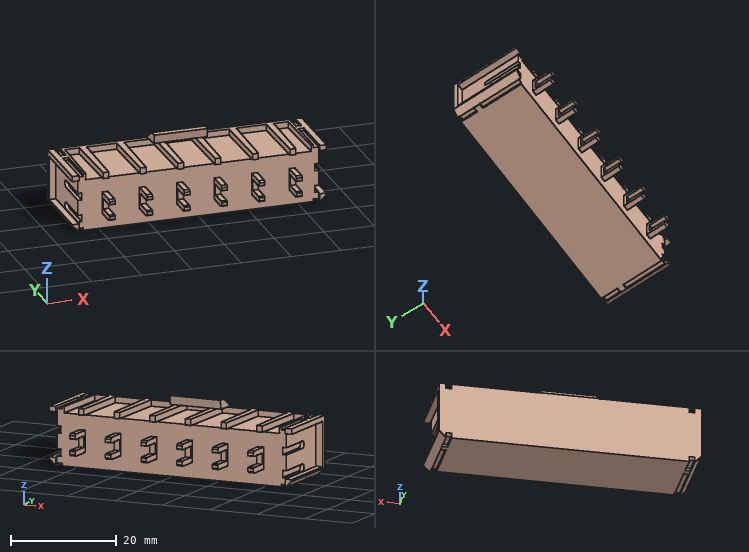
import cadquery as cq

LENGTH = 51.05
BODY_DEPTH = 14.1
BODY_HEIGHT = 11.6
OVERALL_HEIGHT = 13.4
OVERALL_DEPTH = 18.6

FRAME_THICKNESS = 1.4
FRAME_OVERHANG = 0.6
FRAME_BACK_WALL = 1.05
FRAME_TOP_BAR = 1.05
FRAME_BOTTOM_BAR = 1.75

SLOT_WIDTH = 1.05
SLOT_DEPTH = 0.5
REAR_SLOT_LENGTH = 3.8
SLOT_BRIDGE = 1.4
LEAD_IN_LENGTH = 0.45
LEAD_IN_DROP = 0.5

GROOVE_WIDTH = 1.4
GROOVE_DEPTH = 0.75
GROOVE_LENGTH = 7.75
GROOVE_CENTERS_Z = (2.55, 7.0)

POCKET_DEPTH = 1.2
POCKET_BACK_WALL = 1.15
POCKET_HALF_BACK = 22.35
POCKET_HALF_FRONT = 22.6
RIB_BACK_WIDTH = 1.5
RIB_FRONT_WIDTH = 1.1
RIB_OVERHANG = 0.6

PIN_COUNT = 6
PIN_PITCH = 7.5
PIN_WIDTH = 1.1
PIN_TOP_Z = 7.4
PIN_BOTTOM_Z = 3.1
PRONG_HEIGHT = 1.05
PIN_WEB = 0.6
TIP_LENGTH = 0.45
TIP_OUTER_DROP = 0.3
TIP_INNER_DROP = 0.15

LATCH_HALF_BACK = 5.7
LATCH_HALF_FRONT = 5.3
LATCH_RAMP = 2.3
LATCH_REACH = 3.85
LATCH_UNDERCUT = 0.3

HALF_LENGTH = LENGTH / 2
POCKET_BACK_Y = BODY_DEPTH - POCKET_BACK_WALL
POCKET_FLOOR_Z = BODY_HEIGHT - POCKET_DEPTH
SIDE_X = HALF_LENGTH - FRAME_THICKNESS
PIN_TIP_Y = BODY_DEPTH - OVERALL_DEPTH
PIN_POSITIONS = [(i - (PIN_COUNT - 1) / 2) * PIN_PITCH for i in range(PIN_COUNT)]


def block(x_range, y_range, z_range):
    """Box given by its lower and upper limit along each axis."""
    lows, highs = zip(x_range, y_range, z_range)
    sizes = [high - low for low, high in zip(lows, highs)]
    return cq.Workplane("XY").box(*sizes, centered=False).translate(lows)


def side_profile(points, x_start, width):
    """Outline of (Y, Z) points extruded along +X."""
    return cq.Workplane("YZ").workplane(offset=x_start).polyline(points).close().extrude(width)


def tapered_bar(half_front, half_back, y_front, y_back, z_low, height):
    """Bar symmetric about X = 0 whose width changes from front to back."""
    outline = [
        (-half_front, y_front),
        (half_front, y_front),
        (half_back, y_back),
        (-half_back, y_back),
    ]
    return cq.Workplane("XY").workplane(offset=z_low).polyline(outline).close().extrude(height)


def mirrored_pair(solid):
    """The solid together with its mirror image across X = 0."""
    return solid.union(solid.mirror("YZ"))


def end_frame():
    """Frame at the +X end: open to the front, with the lower outer edge bevelled."""
    frame = block((SIDE_X, HALF_LENGTH), (-FRAME_OVERHANG, BODY_DEPTH), (0, BODY_HEIGHT))
    opening = block(
        (SIDE_X, HALF_LENGTH),
        (-FRAME_OVERHANG, BODY_DEPTH - FRAME_BACK_WALL),
        (FRAME_BOTTOM_BAR, BODY_HEIGHT - FRAME_TOP_BAR),
    )
    bevel = (
        cq.Workplane("XZ", origin=(0, BODY_DEPTH, 0))
        .polyline([(SIDE_X, 0), (HALF_LENGTH, 0), (HALF_LENGTH, FRAME_THICKNESS)])
        .close()
        .extrude(BODY_DEPTH + FRAME_OVERHANG)
    )
    return frame.cut(opening).cut(bevel)


def edge_slots():
    """Top and bottom slots beside the +X frame: a rear one with a sloped entry and a front one."""
    rear_end = BODY_DEPTH - REAR_SLOT_LENGTH
    slot_floor = BODY_HEIGHT - SLOT_DEPTH
    rear_outline = [
        (rear_end, BODY_HEIGHT),
        (BODY_DEPTH, BODY_HEIGHT),
        (BODY_DEPTH, slot_floor - LEAD_IN_DROP),
        (BODY_DEPTH - LEAD_IN_LENGTH, slot_floor),
        (rear_end, slot_floor),
    ]
    rear = side_profile(rear_outline, SIDE_X - SLOT_WIDTH, SLOT_WIDTH)
    front = block(
        (SIDE_X - SLOT_WIDTH, SIDE_X),
        (0, rear_end - SLOT_BRIDGE),
        (slot_floor, BODY_HEIGHT),
    )
    top = rear.union(front)
    return top.union(top.mirror("XY", (0, 0, BODY_HEIGHT / 2)))


def side_grooves():
    """Grooves in the +X side face, open at the front and rounded at the rear."""
    radius = GROOVE_WIDTH / 2
    grooves = cq.Workplane("YZ")
    for z in GROOVE_CENTERS_Z:
        groove = (
            cq.Workplane("YZ", origin=(SIDE_X - GROOVE_DEPTH, 0, z))
            .moveTo(0, -radius)
            .lineTo(GROOVE_LENGTH - radius, -radius)
            .threePointArc((GROOVE_LENGTH, 0), (GROOVE_LENGTH - radius, radius))
            .lineTo(0, radius)
            .close()
            .extrude(GROOVE_DEPTH)
        )
        grooves = grooves.add(groove)
    return grooves.combine()


def top_pocket():
    """Recess in the top face, open at the front."""
    return tapered_bar(
        POCKET_HALF_FRONT, POCKET_HALF_BACK, 0, POCKET_BACK_Y, POCKET_FLOOR_Z, POCKET_DEPTH
    )


def rib():
    """Tapered rib centred on X = 0, running from the pocket's back wall past the body front."""
    return tapered_bar(
        RIB_FRONT_WIDTH / 2, RIB_BACK_WIDTH / 2, -RIB_OVERHANG, POCKET_BACK_Y, POCKET_FLOOR_Z, POCKET_DEPTH
    )


def latch():
    """Ramped wedge with an undercut front face, narrowing towards the front."""
    front_y = BODY_DEPTH - LATCH_REACH
    outline = [
        (BODY_DEPTH, BODY_HEIGHT),
        (BODY_DEPTH - LATCH_RAMP, OVERALL_HEIGHT),
        (front_y, OVERALL_HEIGHT),
        (front_y + LATCH_UNDERCUT, BODY_HEIGHT),
    ]
    wedge = side_profile(outline, -LATCH_HALF_BACK, 2 * LATCH_HALF_BACK)
    plan = tapered_bar(
        LATCH_HALF_FRONT, LATCH_HALF_BACK, front_y, BODY_DEPTH, BODY_HEIGHT, OVERALL_HEIGHT - BODY_HEIGHT
    )
    return wedge.intersect(plan)


def pin():
    """Two-pronged pin centred on X = 0 with bevelled tips."""
    taper_y = PIN_TIP_Y + TIP_LENGTH
    upper_inner_z = PIN_TOP_Z - PRONG_HEIGHT
    lower_inner_z = PIN_BOTTOM_Z + PRONG_HEIGHT
    outline = [
        (0, PIN_TOP_Z),
        (taper_y, PIN_TOP_Z),
        (PIN_TIP_Y, PIN_TOP_Z - TIP_OUTER_DROP),
        (PIN_TIP_Y, upper_inner_z + TIP_INNER_DROP),
        (taper_y, upper_inner_z),
        (-PIN_WEB, upper_inner_z),
        (-PIN_WEB, lower_inner_z),
        (taper_y, lower_inner_z),
        (PIN_TIP_Y, lower_inner_z - TIP_INNER_DROP),
        (PIN_TIP_Y, PIN_BOTTOM_Z + TIP_OUTER_DROP),
        (taper_y, PIN_BOTTOM_Z),
        (0, PIN_BOTTOM_Z),
    ]
    return side_profile(outline, -PIN_WIDTH / 2, PIN_WIDTH)


result = block((-SIDE_X, SIDE_X), (0, BODY_DEPTH), (0, BODY_HEIGHT))
result = result.cut(top_pocket())
result = result.cut(mirrored_pair(side_grooves()))
result = result.cut(mirrored_pair(edge_slots()))
result = result.union(mirrored_pair(end_frame()))
result = result.union(latch())

for pin_x in PIN_POSITIONS:
    result = result.union(rib().translate((pin_x, 0, 0)))
    result = result.union(pin().translate((pin_x, 0, 0)))